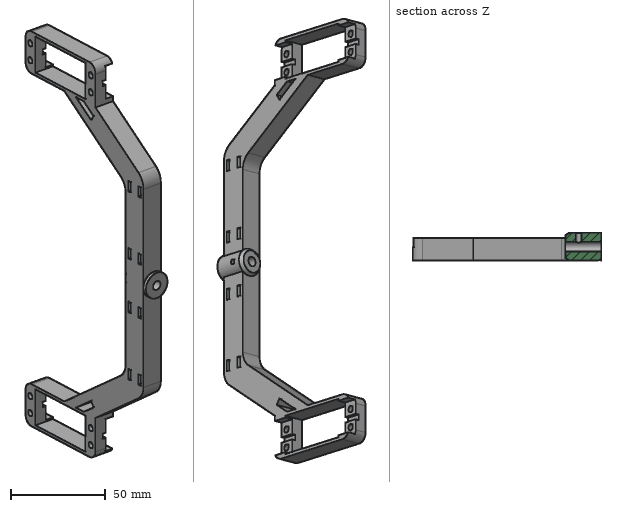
import cadquery as cq
import math

total_height = 232.5
total_width = 100.0
frame_depth = 12.0

boss_diameter = 15.0
boss_bore = 5.1
boss_overhang = 2.0
boss_taper_inset = 1.5
set_screw_diameter = 2.8
set_screw_x = 88.0

band_width = 15.0
arm_slope = 35.0
bend_radius = 10.0

bracket_width = 58.1
bracket_height = 25.0
bracket_corner_radius = 5.1
window_width = 41.5
window_height = 21.2
screw_hole_diameter = 3.5
screw_hole_inset = 4.0
screw_hole_spacing = 10.0
step_depth = 5.0
step_height = 19.0
groove_depth = 2.0
groove_height = 3.0

tie_slot_width = 2.0
tie_slot_height = 6.0
tie_slot_spacing_x = 8.4
tie_slot_heights = (15.8, 55.3)
arm_slot_width = 3.7
arm_slot_length = 12.5

column_right = total_width - boss_overhang
column_left = column_right - band_width
column_middle = column_right - band_width / 2
front_y = -boss_diameter / 2
back_y = front_y + frame_depth
middle_y = front_y + frame_depth / 2
top_z = total_height / 2
bracket_bottom_z = top_z - bracket_height
bracket_middle_z = top_z - bracket_height / 2
slope = math.tan(math.radians(arm_slope))
arm_span_x = band_width / math.sin(math.radians(arm_slope))
arm_middle_x = bracket_width - arm_span_x / 2
outer_bend_z = bracket_bottom_z - (column_right - bracket_width) * slope
inner_bend_z = bracket_bottom_z - (column_left - (bracket_width - arm_span_x)) * slope


def front_sketch():
    """Workplane on the front face, with local x along X and local y along Z."""
    return cq.Workplane("XZ", origin=(0, front_y, 0))


def mirrored(upper):
    """The upper shape together with its mirror image below Z = 0."""
    return upper.union(upper.mirror("XY"))


def make_band():
    """Upper half of the column with its bent arm, running up to the bracket."""
    outline = [
        (column_left, 0),
        (column_right, 0),
        (column_right, outer_bend_z),
        (bracket_width, bracket_bottom_z),
        (bracket_width - arm_span_x, bracket_bottom_z),
        (column_left, inner_bend_z),
    ]
    band = front_sketch().polyline(outline).close().extrude(-frame_depth)
    inner_bend = cq.selectors.NearestToPointSelector((column_left, middle_y, inner_bend_z))
    outer_bend = cq.selectors.NearestToPointSelector((column_right, middle_y, outer_bend_z))
    band = band.edges(inner_bend).fillet(bend_radius)
    return band.edges(outer_bend).fillet(bend_radius)


def make_bracket():
    """Upper bracket, with its lower right corner left square where the arm joins it."""
    bracket = (
        front_sketch()
        .center(bracket_width / 2, bracket_middle_z)
        .rect(bracket_width, bracket_height)
        .extrude(-frame_depth)
    )
    bracket = bracket.edges("|Y and <X").fillet(bracket_corner_radius)
    return bracket.edges("|Y and >X").edges(">Z").fillet(bracket_corner_radius)


def make_bracket_cuts():
    """Window, screw holes, and the stepped and grooved back of the bracket's two posts."""
    centre = front_sketch().center(bracket_width / 2, bracket_middle_z)
    window = centre.rect(window_width, window_height).extrude(-frame_depth)
    holes = (
        centre.rect(bracket_width - 2 * screw_hole_inset, screw_hole_spacing, forConstruction=True)
        .vertices()
        .circle(screw_hole_diameter / 2)
        .extrude(-frame_depth)
    )
    cuts = window.union(holes)
    for height, depth in ((step_height, step_depth), (groove_height, step_depth + groove_depth)):
        channel = cq.Workplane().box(bracket_width, depth, height)
        cuts = cuts.union(channel.translate((bracket_width / 2, back_y - depth / 2, bracket_middle_z)))
    return cuts


def make_arm_slot():
    """Slot along the middle of the arm, starting at the bracket's lower edge."""
    slot = (
        front_sketch()
        .transformed(offset=(arm_middle_x, bracket_bottom_z, 0), rotate=(0, 0, -arm_slope))
        .rect(2 * arm_slot_length, arm_slot_width)
        .extrude(-frame_depth)
    )
    below_bracket = (
        front_sketch()
        .center(arm_middle_x, bracket_bottom_z - arm_slot_length)
        .rect(4 * arm_slot_length, 2 * arm_slot_length)
        .extrude(-frame_depth)
    )
    return slot.intersect(below_bracket)


def make_tie_slots():
    """Pairs of slots through the upper half of the column."""
    places = [
        (column_middle + side * tie_slot_spacing_x / 2, height)
        for side in (-1, 1)
        for height in tie_slot_heights
    ]
    return front_sketch().pushPoints(places).rect(tie_slot_width, tie_slot_height).extrude(-frame_depth)


def make_boss():
    """Solid boss along X, tapered where it stands out of the column on the left."""
    radius = boss_diameter / 2
    left = column_left - boss_overhang
    profile = [
        (left, 0),
        (left, radius - boss_taper_inset),
        (column_left, radius),
        (total_width, radius),
        (total_width, 0),
    ]
    return cq.Workplane("XY").polyline(profile).close().revolve(360, (0, 0, 0), (1, 0, 0))


def make_boss_holes():
    """Bore along the boss, and a set screw hole that enters it from the back."""
    bore = cq.Workplane("YZ").circle(boss_bore / 2).extrude(total_width)
    set_screw_hole = (
        cq.Workplane("XZ", origin=(set_screw_x, 0, 0))
        .circle(set_screw_diameter / 2)
        .extrude(-boss_diameter / 2)
    )
    return bore.union(set_screw_hole)


def make_frame():
    """The complete one-piece frame."""
    upper = make_band().union(make_bracket())
    upper = upper.cut(make_bracket_cuts()).cut(make_arm_slot()).cut(make_tie_slots())
    return mirrored(upper).union(make_boss()).cut(make_boss_holes())


frame = make_frame()

result = cq.Compound.makeCompound([frame.val()])